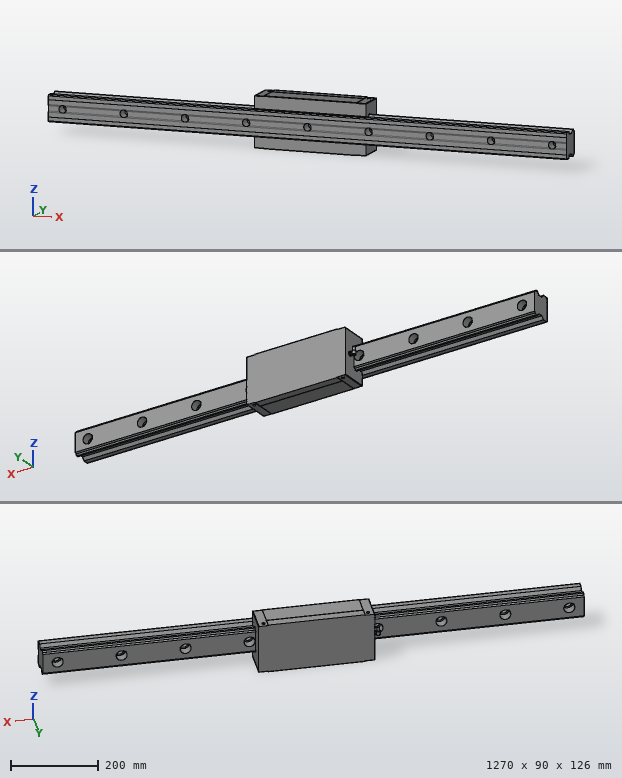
import cadquery as cq

RAIL_LENGTH = 1270.0
RAIL_HEIGHT = 53.0
RAIL_HALF_WIDTH = 32.0
BASE_CHAMFER = 3.0
BASE_SIDE_TOP = 17.0
NECK_BOTTOM = 23.0
NECK_TOP = 34.0
NECK_HALF_WIDTH = 24.0
HEAD_SIDE_BOTTOM = 42.0
HEAD_SIDE_TOP = 47.0
SHOULDER_HALF_WIDTH = 28.0
SHOULDER_Y = 50.0
HEAD_TOP_HALF_WIDTH = 25.0

RELIEF_DEPTH = 0.3
RELIEF_HALF_WIDTH = 20.0
GROOVE_DEPTH = 0.8
GROOVE_MOUTH_HALF_WIDTH = 9.0
GROOVE_FLOOR_HALF_WIDTH = 6.0

HOLE_COUNT = 9
HOLE_SPAN = 1200.0
HOLE_PITCH = HOLE_SPAN / (HOLE_COUNT - 1)
HOLE_DIAMETER = 18.0
COUNTERBORE_DIAMETER = 25.0
COUNTERBORE_DEPTH = 22.0

CARRIAGE_LENGTH = 273.0
CARRIAGE_WIDTH = 126.0
CARRIAGE_BOTTOM = 19.0
CARRIAGE_TOP = 90.0
CAP_LENGTH = 23.0
CAP_INSET = 1.0
SIDE_STEP_Y = 69.0
SIDE_STEP_DEPTH = 0.6
EDGE_CHAMFER = 1.0
RUNNING_GAP = 0.6
BLOCK_LENGTH = CARRIAGE_LENGTH - 2 * CAP_LENGTH
BLOCK_HALF_WIDTH = CARRIAGE_WIDTH / 2
CAP_HALF_WIDTH = BLOCK_HALF_WIDTH - CAP_INSET

PORT_DIAMETER = 6.0
PORT_DEPTH = 5.0
PORT_Y = 79.0
PORT_END_DISTANCE = 14.0

NIPPLE_Y = 71.0
NIPPLE_REACH = 17.0
FLANGE_DIAMETER = 11.0
FLANGE_LENGTH = 3.0
STEM_DIAMETER = 5.0
ELBOW_DIAMETER = 10.0
ELBOW_BOTTOM = -6.0
ELBOW_TOP = 5.0
ELBOW_CHAMFER = 1.0
TIP_DIAMETER = 6.0
TIP_TOP = 15.0


def extrude_along_x(half_outline, length):
    """Prism centred on X = 0, its section the (z, y) points given for +Z and their mirror image."""
    section = half_outline + [(-z, y) for z, y in reversed(half_outline)]
    plane = cq.Plane(origin=(0, 0, 0), xDir=(0, 0, 1), normal=(-1, 0, 0))
    return cq.Workplane(plane).polyline(section).close().extrude(length / 2, both=True)


def make_rail():
    rail = extrude_along_x([
        (GROOVE_FLOOR_HALF_WIDTH, GROOVE_DEPTH),
        (GROOVE_MOUTH_HALF_WIDTH, RELIEF_DEPTH),
        (RELIEF_HALF_WIDTH, RELIEF_DEPTH),
        (RELIEF_HALF_WIDTH, 0),
        (RAIL_HALF_WIDTH - BASE_CHAMFER, 0),
        (RAIL_HALF_WIDTH, BASE_CHAMFER),
        (RAIL_HALF_WIDTH, BASE_SIDE_TOP),
        (NECK_HALF_WIDTH, NECK_BOTTOM),
        (NECK_HALF_WIDTH, NECK_TOP),
        (RAIL_HALF_WIDTH, HEAD_SIDE_BOTTOM),
        (RAIL_HALF_WIDTH, HEAD_SIDE_TOP),
        (SHOULDER_HALF_WIDTH, SHOULDER_Y),
        (HEAD_TOP_HALF_WIDTH, RAIL_HEIGHT),
    ], RAIL_LENGTH)
    top_face = cq.Plane(origin=(0, RAIL_HEIGHT, 0), xDir=(1, 0, 0), normal=(0, 1, 0))
    return (
        cq.Workplane(top_face)
        .add(rail)
        .rarray(HOLE_PITCH, 13, HOLE_COUNT, 1)
        .cboreHole(HOLE_DIAMETER, COUNTERBORE_DIAMETER, COUNTERBORE_DEPTH)
    )


def make_rail_channel():
    """The space in the carriage for the rail: its upper outline plus the running gap."""
    widest = RAIL_HALF_WIDTH + RUNNING_GAP
    neck = NECK_HALF_WIDTH + RUNNING_GAP
    return extrude_along_x([
        (widest, 0),
        (widest, BASE_SIDE_TOP + RUNNING_GAP),
        (neck, NECK_BOTTOM + RUNNING_GAP),
        (neck, NECK_TOP - RUNNING_GAP),
        (widest, HEAD_SIDE_BOTTOM - RUNNING_GAP),
        (widest, HEAD_SIDE_TOP + RUNNING_GAP),
        (SHOULDER_HALF_WIDTH + RUNNING_GAP, SHOULDER_Y + RUNNING_GAP),
        (HEAD_TOP_HALF_WIDTH + RUNNING_GAP, RAIL_HEIGHT + RUNNING_GAP),
    ], CARRIAGE_LENGTH)


def make_middle_block():
    lower_half_width = BLOCK_HALF_WIDTH - SIDE_STEP_DEPTH
    return extrude_along_x([
        (lower_half_width - EDGE_CHAMFER, CARRIAGE_BOTTOM),
        (lower_half_width, CARRIAGE_BOTTOM + EDGE_CHAMFER),
        (lower_half_width, SIDE_STEP_Y),
        (BLOCK_HALF_WIDTH, SIDE_STEP_Y),
        (BLOCK_HALF_WIDTH, CARRIAGE_TOP),
    ], BLOCK_LENGTH)


def make_end_caps():
    """Both caps as the ends of one bar; the middle block covers the rest of it."""
    bar = extrude_along_x([
        (CAP_HALF_WIDTH, CARRIAGE_BOTTOM),
        (CAP_HALF_WIDTH, CARRIAGE_TOP),
    ], CARRIAGE_LENGTH)
    return bar.edges("|Y or (|X and <Y)").chamfer(EDGE_CHAMFER)


def make_port(end, side):
    """Cylinder for the port at the given end (-1 or 1 along X) and side (-1 or 1 along Z)."""
    x = end * (CARRIAGE_LENGTH / 2 - PORT_END_DISTANCE)
    mouth = cq.Plane(origin=(x, PORT_Y, side * CAP_HALF_WIDTH), xDir=(1, 0, 0), normal=(0, 0, -side))
    return cq.Workplane(mouth).circle(PORT_DIAMETER / 2).extrude(PORT_DEPTH)


def make_carriage():
    carriage = make_middle_block().union(make_end_caps()).cut(make_rail_channel())
    for end in (-1, 1):
        for side in (-1, 1):
            carriage = carriage.cut(make_port(end, side))
    return carriage


def make_nipple():
    end_x = -CARRIAGE_LENGTH / 2
    elbow_x = end_x - NIPPLE_REACH + ELBOW_DIAMETER / 2
    end_face = cq.Plane(origin=(end_x, NIPPLE_Y, 0), xDir=(0, 1, 0), normal=(-1, 0, 0))
    flange = cq.Workplane(end_face).circle(FLANGE_DIAMETER / 2).extrude(FLANGE_LENGTH)
    stem = cq.Workplane(end_face).circle(STEM_DIAMETER / 2).extrude(end_x - elbow_x)
    elbow = (
        cq.Workplane("XY", origin=(elbow_x, NIPPLE_Y, ELBOW_BOTTOM))
        .circle(ELBOW_DIAMETER / 2)
        .extrude(ELBOW_TOP - ELBOW_BOTTOM)
        .faces("<Z or >Z")
        .chamfer(ELBOW_CHAMFER)
    )
    tip = cq.Workplane("XY", origin=(elbow_x, NIPPLE_Y, 0)).circle(TIP_DIAMETER / 2).extrude(TIP_TOP)
    return flange.union(stem).union(elbow).union(tip)


rail = make_rail()
carriage = make_carriage()
nipple = make_nipple()
result = cq.Compound.makeCompound([body.solids().val() for body in (rail, carriage, nipple)])